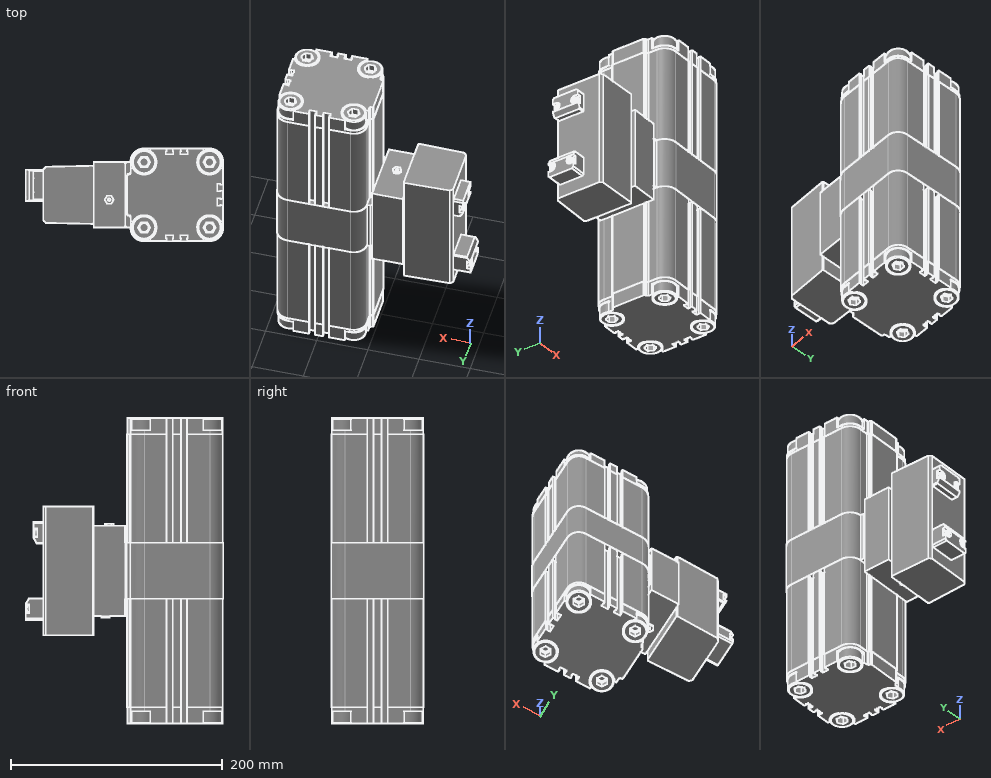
import cadquery as cq

TOTAL_HEIGHT = 289.0
MIDDLE_HEIGHT = 53.2
CAP_HEIGHT = 15.5
HALF_HEIGHT = TOTAL_HEIGHT / 2
CAP_BASE_Z = HALF_HEIGHT - CAP_HEIGHT

MIDDLE_WIDTH = 88.0
TUBE_WIDTH = 87.3
CAP_WIDTH = 86.7
SCREW_OFFSET = 31.0

RIDGE_RISE = 3.5
RIDGE_FLAT_HALF_WIDTH = 18.2
RIDGE_BEVEL_WIDTH = 1.5
RIDGE_BEVEL_DEPTH = 0.5
RIDGE_FOOT_DEPTH = 1.0
RIDGE_DRAFT = 0.3
CAP_RIDGE_INSET = 0.5

SLOT_SPACING = 13.5
SLOT_MOUTH_WIDTH = 6.0
SLOT_NECK_WIDTH = 5.5
SLOT_NECK_DEPTH = 2.5
SLOT_WIDTH = 7.0
SLOT_DEPTH = 5.5

HEAD_DIAMETER = 23.0
HEAD_BEVEL = 1.2
POCKET_DIAMETER = 23.7
POCKET_DEPTH = 11.8
POCKET_OPENING = 5.8
HEX_ACROSS_CORNERS = 11.5
HEX_DEPTH = 7.5
SCREW_BORE_DIAMETER = 8.5
SCREW_BORE_DEPTH = 9.0

BLOCK_RIGHT_X = -48.8
BLOCK_LEFT_X = -78.5
BLOCK_WIDTH = 62.0
BLOCK_HEIGHT = 85.5
MIDDLE_PAD_BEVEL = 1.7

PLUG_ACROSS_CORNERS = 8.5
PLUG_HEIGHT = 1.7
PLUG_BORE_DIAMETER = 2.45
PLUG_Y = -4.5
TOP_PLUG_X = -64.0
BOTTOM_PLUG_X = -67.3

HOUSING_FRONT_X = -126.3
HOUSING_HEIGHT = 122.0
HOUSING_REAR_WIDTH = 55.2
HOUSING_FRONT_WIDTH = 53.2
HOUSING_REAR_BEVEL = 1.0
HOUSING_FRONT_BEVEL = 2.5

UPPER_CONNECTOR_TIP_X = -135.5
LOWER_CONNECTOR_TIP_X = -142.8
CONNECTOR_WIDTH = 29.8
CONNECTOR_CENTER_Y = 9.0
CONNECTOR_INNER_Z = 25.7
CONNECTOR_OUTER_Z = 46.5
CONNECTOR_SLOPE_LENGTH = 3.2
CONNECTOR_SLOPE_HEIGHT = 5.5
CONNECTOR_OUTER_BEVEL = 1.7
CONNECTOR_INNER_BEVEL = 1.0
TERMINAL_Z = 35.8
TERMINAL_SPACING = 21.7
TERMINAL_RECESS_DIAMETER = 8.5
TERMINAL_RECESS_DEPTH = 3.5
TERMINAL_HEAD_DIAMETER = 6.0
TERMINAL_HEAD_HEIGHT = 2.3
TERMINAL_BORE_DIAMETER = 2.45


def rounded_prism(width, bottom_z, top_z):
    """Square prism whose corner arcs are centred on the screw axes."""
    return (
        cq.Workplane("XY")
        .workplane(offset=bottom_z)
        .rect(width, width)
        .extrude(top_z - bottom_z)
        .edges("|Z")
        .fillet(width / 2 - SCREW_OFFSET)
    )


def ridge(width, inset, bottom_z, top_z):
    """Raised strip on the -X side with bevelled edges, drafted flanks and bevelled feet."""
    side_x = -width / 2
    face_x = side_x - RIDGE_RISE
    flat_y = RIDGE_FLAT_HALF_WIDTH - inset
    flank_top_y = flat_y + RIDGE_BEVEL_WIDTH
    flank_foot_y = flank_top_y + RIDGE_DRAFT
    foot_y = flank_foot_y + RIDGE_BEVEL_WIDTH
    half = [
        (face_x, flat_y),
        (face_x + RIDGE_BEVEL_DEPTH, flank_top_y),
        (side_x - RIDGE_FOOT_DEPTH, flank_foot_y),
        (side_x, foot_y),
        (0, foot_y),
    ]
    mirrored_half = [(x, -y) for x, y in reversed(half)]
    return (
        cq.Workplane("XY")
        .workplane(offset=bottom_z)
        .polyline(half + mirrored_half)
        .close()
        .extrude(top_z - bottom_z)
    )


def t_slots(bottom_z, top_z):
    """Cutters for the slot pairs on the +X, +Y and -Y sides; the necks widen towards the mouth."""
    face_x = TUBE_WIDTH / 2
    neck_x = face_x - SLOT_NECK_DEPTH
    floor_x = face_x - SLOT_DEPTH
    half = [
        (face_x, SLOT_MOUTH_WIDTH / 2),
        (neck_x, SLOT_NECK_WIDTH / 2),
        (neck_x, SLOT_WIDTH / 2),
        (floor_x, SLOT_WIDTH / 2),
    ]
    mirrored_half = [(x, -y) for x, y in reversed(half)]
    slot = (
        cq.Workplane("XY")
        .workplane(offset=bottom_z)
        .polyline(half + mirrored_half)
        .close()
        .extrude(top_z - bottom_z)
    )
    cutters = cq.Workplane("XY")
    for offset in (-SLOT_SPACING / 2, SLOT_SPACING / 2):
        for angle in (-90, 0, 90):
            cutters = cutters.add(slot.translate((0, offset, 0)).rotate((0, 0, 0), (0, 0, 1), angle))
    return cutters.combine()


def screw_pocket(x_sign, y_sign):
    """Round pocket around a screw head, open to both sides of the corner."""
    floor_z = HALF_HEIGHT - POCKET_DEPTH
    outer = CAP_WIDTH / 2
    inner = SCREW_OFFSET - POCKET_OPENING
    center = (inner + outer) / 2
    opening = cq.Workplane("XY").box(
        outer - inner, outer - inner, POCKET_DEPTH, centered=(True, True, False)
    )
    round_part = cq.Workplane("XY").circle(POCKET_DIAMETER / 2).extrude(POCKET_DEPTH)
    opening = opening.translate((x_sign * center, y_sign * center, floor_z))
    round_part = round_part.translate((x_sign * SCREW_OFFSET, y_sign * SCREW_OFFSET, floor_z))
    return opening.union(round_part)


def screw_head(x_sign, y_sign):
    """Socket head that fills the pocket up to the end face."""
    head = (
        cq.Workplane("XY")
        .workplane(offset=HALF_HEIGHT - POCKET_DEPTH)
        .circle(HEAD_DIAMETER / 2)
        .extrude(POCKET_DEPTH)
        .faces(">Z")
        .chamfer(HEAD_BEVEL)
        .faces(">Z")
        .workplane()
        .polygon(6, HEX_ACROSS_CORNERS)
        .cutBlind(-HEX_DEPTH)
    )
    bore = (
        cq.Workplane("XY")
        .workplane(offset=HALF_HEIGHT - SCREW_BORE_DEPTH)
        .circle(SCREW_BORE_DIAMETER / 2)
        .extrude(SCREW_BORE_DEPTH)
    )
    return head.cut(bore).translate((x_sign * SCREW_OFFSET, y_sign * SCREW_OFFSET, 0))


def upper_cylinder():
    """Profile tube with its end cap and the four cap screws."""
    base_z = MIDDLE_HEIGHT / 2
    tube = rounded_prism(TUBE_WIDTH, base_z, CAP_BASE_Z)
    tube = tube.union(ridge(TUBE_WIDTH, 0, base_z, CAP_BASE_Z))
    cap = rounded_prism(CAP_WIDTH, CAP_BASE_Z, HALF_HEIGHT)
    cap = cap.union(ridge(CAP_WIDTH, CAP_RIDGE_INSET, CAP_BASE_Z, HALF_HEIGHT))
    corners = [(x_sign, y_sign) for x_sign in (-1, 1) for y_sign in (-1, 1)]
    for x_sign, y_sign in corners:
        cap = cap.cut(screw_pocket(x_sign, y_sign))
    body = tube.union(cap).cut(t_slots(base_z, HALF_HEIGHT))
    for x_sign, y_sign in corners:
        body = body.union(screw_head(x_sign, y_sign))
    return body


def make_middle():
    """Centre section with the bevelled pad that carries the valve block."""
    pad_length = -BLOCK_RIGHT_X
    pad = (
        cq.Workplane("XY")
        .box(pad_length, BLOCK_WIDTH, MIDDLE_HEIGHT)
        .edges("<X and |Z")
        .chamfer(MIDDLE_PAD_BEVEL)
        .translate((-pad_length / 2, 0, 0))
    )
    return rounded_prism(MIDDLE_WIDTH, -MIDDLE_HEIGHT / 2, MIDDLE_HEIGHT / 2).union(pad)


def make_valve_block():
    """Plain block with one bored hexagonal plug standing out of each end."""
    block = cq.Workplane("XY").box(BLOCK_RIGHT_X - BLOCK_LEFT_X, BLOCK_WIDTH, BLOCK_HEIGHT)
    block = block.translate(((BLOCK_LEFT_X + BLOCK_RIGHT_X) / 2, 0, 0))
    for plug_x, direction in ((TOP_PLUG_X, 1), (BOTTOM_PLUG_X, -1)):
        plug = (
            cq.Workplane("XY", origin=(plug_x, PLUG_Y, direction * BLOCK_HEIGHT / 2))
            .polygon(6, PLUG_ACROSS_CORNERS)
            .circle(PLUG_BORE_DIAMETER / 2)
            .extrude(direction * PLUG_HEIGHT)
        )
        block = block.union(plug)
    return block


def connector(tip_x):
    """Upper connector: bevelled block, sloped at its lower front, with two terminal screws."""
    slope_end_x = tip_x + CONNECTOR_SLOPE_LENGTH
    slope_top_z = CONNECTOR_INNER_Z + CONNECTOR_SLOPE_HEIGHT
    length = HOUSING_FRONT_X - tip_x
    height = CONNECTOR_OUTER_Z - CONNECTOR_INNER_Z
    body = (
        cq.Workplane("XY")
        .box(length, CONNECTOR_WIDTH, height, centered=(False, True, False))
        .translate((tip_x, CONNECTOR_CENTER_Y, CONNECTOR_INNER_Z))
    )
    body = body.edges(">Z and |X").chamfer(CONNECTOR_OUTER_BEVEL)
    body = body.edges("<Z and |X").chamfer(CONNECTOR_INNER_BEVEL)
    slope_cut = (
        cq.Workplane("XZ")
        .polyline([
            (tip_x, CONNECTOR_INNER_Z),
            (slope_end_x, CONNECTOR_INNER_Z),
            (tip_x, slope_top_z),
        ])
        .close()
        .extrude(CONNECTOR_WIDTH, both=True)
    )
    body = body.cut(slope_cut)
    recess_floor_x = tip_x + TERMINAL_RECESS_DEPTH
    for side in (-1, 1):
        terminal_y = CONNECTOR_CENTER_Y + side * TERMINAL_SPACING / 2
        opening_y = terminal_y + side * TERMINAL_RECESS_DIAMETER / 2
        recess_floor = cq.Workplane("YZ", origin=(recess_floor_x, terminal_y, TERMINAL_Z))
        opening_floor = cq.Workplane("YZ", origin=(recess_floor_x, opening_y, TERMINAL_Z))
        recess = recess_floor.circle(TERMINAL_RECESS_DIAMETER / 2).extrude(-TERMINAL_RECESS_DEPTH)
        opening = opening_floor.rect(TERMINAL_RECESS_DIAMETER, TERMINAL_RECESS_DIAMETER).extrude(
            -TERMINAL_RECESS_DEPTH
        )
        head = (
            cq.Workplane("YZ", origin=(recess_floor_x, terminal_y, TERMINAL_Z))
            .circle(TERMINAL_HEAD_DIAMETER / 2)
            .circle(TERMINAL_BORE_DIAMETER / 2)
            .extrude(-TERMINAL_HEAD_HEIGHT)
        )
        body = body.cut(recess).cut(opening).union(head)
    return body


def make_housing():
    """Tapered switch housing with its two connectors."""
    rear_half = HOUSING_REAR_WIDTH / 2
    front_half = HOUSING_FRONT_WIDTH / 2
    housing = (
        cq.Workplane("XY")
        .workplane(offset=-HOUSING_HEIGHT / 2)
        .polyline([
            (BLOCK_LEFT_X, -rear_half),
            (BLOCK_LEFT_X, rear_half),
            (HOUSING_FRONT_X, front_half),
            (HOUSING_FRONT_X, -front_half),
        ])
        .close()
        .extrude(HOUSING_HEIGHT)
    )
    housing = housing.edges("<X and |Z").chamfer(HOUSING_FRONT_BEVEL)
    housing = housing.edges(">X and |Z").chamfer(HOUSING_REAR_BEVEL)
    upper = connector(UPPER_CONNECTOR_TIP_X)
    lower = connector(LOWER_CONNECTOR_TIP_X).mirror("XY")
    return housing.union(upper).union(lower)


cylinders = []
for points_down in (False, True):
    cylinder = upper_cylinder()
    if points_down:
        cylinder = cylinder.mirror("XY")
    cylinders.append(cylinder.val())

middle = make_middle()
valve_block = make_valve_block()
housing = make_housing()

result = cq.Compound.makeCompound([*cylinders, middle.val(), valve_block.val(), housing.val()])